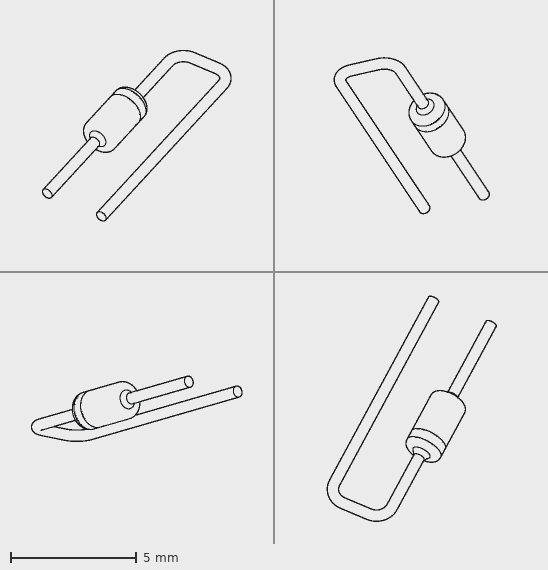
import cadquery as cq


wire_diameter = 0.46
wire_radius = wire_diameter / 2
lead_pitch = 2.54
bend_radius = 1.5 * wire_diameter
overall_length = 10.08
crossover_y = overall_length - wire_radius
bend_start_y = crossover_y - bend_radius

housing_diameter = 1.526
housing_radius = housing_diameter / 2
housing_length = 2.64
housing_bottom_y = 3.81
housing_top_y = housing_bottom_y + housing_length
edge_fillet = 0.2

collar_length = 0.22
collar_base_radius = housing_radius / 2
collar_bottom_y = housing_bottom_y - collar_length
collar_top_y = housing_top_y + collar_length

band_end_offset = 0.23
band_width = 0.41
band_thickness = 0.05
band_top_y = housing_top_y - band_end_offset
band_bottom_y = band_top_y - band_width


def cylinder_along_y(radius, start_y, end_y):
    plane = cq.Plane(origin=(0, start_y, 0), xDir=(1, 0, 0), normal=(0, 1, 0))
    return cq.Workplane(plane).circle(radius).extrude(end_y - start_y)


def make_band():
    outer = cylinder_along_y(housing_radius, band_bottom_y, band_top_y)
    bore = cylinder_along_y(housing_radius - band_thickness, band_bottom_y, band_top_y)
    return outer.cut(bore)


def make_housing(band):
    fillet_start_radius = housing_radius - edge_fillet
    profile = (
        cq.Workplane("XY")
        .moveTo(0, collar_bottom_y)
        .lineTo(wire_radius, collar_bottom_y)
        .lineTo(collar_base_radius, housing_bottom_y)
        .lineTo(fillet_start_radius, housing_bottom_y)
        .radiusArc((housing_radius, housing_bottom_y + edge_fillet), -edge_fillet)
        .lineTo(housing_radius, housing_top_y - edge_fillet)
        .radiusArc((fillet_start_radius, housing_top_y), -edge_fillet)
        .lineTo(collar_base_radius, housing_top_y)
        .lineTo(wire_radius, collar_top_y)
        .lineTo(0, collar_top_y)
        .close()
    )
    blank = profile.revolve(360, (0, 0, 0), (0, 1, 0))
    return blank.cut(band)


def make_straight_lead():
    return cylinder_along_y(wire_radius, 0, collar_bottom_y)


def make_bent_lead():
    path = (
        cq.Workplane("XY")
        .moveTo(0, collar_top_y)
        .lineTo(0, bend_start_y)
        .radiusArc((bend_radius, crossover_y), bend_radius)
        .lineTo(lead_pitch - bend_radius, crossover_y)
        .radiusArc((lead_pitch, bend_start_y), bend_radius)
        .lineTo(lead_pitch, 0)
    )
    start_plane = cq.Plane(origin=(0, collar_top_y, 0), xDir=(1, 0, 0), normal=(0, 1, 0))
    return cq.Workplane(start_plane).circle(wire_radius).sweep(path)


band = make_band()
housing = make_housing(band)
straight_lead = make_straight_lead()
bent_lead = make_bent_lead()

result = cq.Compound.makeCompound(
    [housing.val(), band.val(), straight_lead.val(), bent_lead.val()]
)